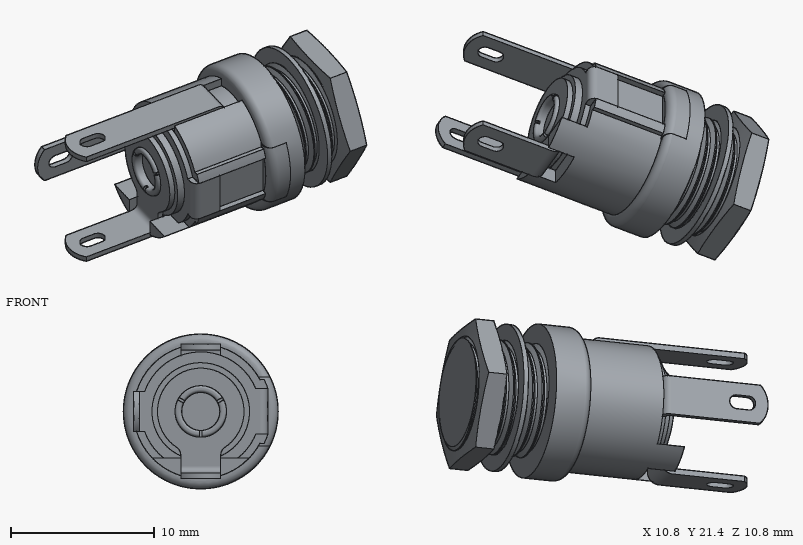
import cadquery as cq
import math


TOTAL_LENGTH = 21.4

NECK_LENGTH = 5.48
THREAD_CREST_RADIUS = 4.02
THREAD_ROOT_RADIUS = 3.65
THREAD_PITCH = 0.7
THREAD_CREST_OFFSET = 0.182
THREAD_CREST_FLAT = THREAD_PITCH / 8
THREAD_ROOT_FLAT = THREAD_PITCH / 4
CORE_SEAM_TURN = 77
THREAD_OVERLAP = 0.06

FLANGE_DIAMETER = 10.8
FLANGE_RADIUS = FLANGE_DIAMETER / 2
FLANGE_THICKNESS = 2.7
FLANGE_ROUNDING = 0.54
BODY_RADIUS = 4.69
BODY_REAR_Y = -8.2
TOP_SLOT_FLOOR_RADIUS = 4.09

RAIL_RADIUS = 4.95
RAIL_HALF_WIDTH = 2.23

KEY_HALF_WIDTH = 2.42
KEY_FRONT_Y = -1.18
KEY_REAR_Y = -2.75
KEY_ROUNDING = 0.6

LUG_TOP_Z = -3.25
LUG_REAR_Y = -10.2

NUT_CORNER_RADIUS = FLANGE_RADIUS
NUT_FRONT_Y = 5.25
NUT_REAR_Y = 3.47
NUT_CONE_DEPTH = 0.21
WASHER_RADIUS = 5.15
WASHER_FRONT_Y = 2.33
WASHER_REAR_Y = 2.0

SHEET = 0.4
TAB_WIDTH = 2.78
TAB_OUTER = BODY_RADIUS
TAB_REAR_Y = NECK_LENGTH - TOTAL_LENGTH
TAB_TIP_SAGITTA = 0.55
EYE_WIDTH = 1.0
EYE_LENGTH = 1.9
EYE_CENTRE_Y = -14.04
BEND_RADIUS = 0.54
PIN_BEND_RADIUS = 0.85

TOP_CONTACT_FRONT_Y = -4.07
TOP_CONTACT_LEG_Z = 3.2

SWITCH_DISC_RADIUS = 4.15
SWITCH_FOLD_HALF_WIDTH = 1.58
SWITCH_FOLD_LENGTH = 1.71

INSULATOR_RADIUS = 3.4
INSULATOR_THICKNESS = 0.55

PIN_DISC_RADIUS = 3.02
PIN_NECK_FILLET = 0.65

PIN_RADIUS = 1.8
PIN_BORE_RADIUS = 1.33
PIN_PROTRUSION = 0.25
PIN_BORE_DEPTH = 0.65
PIN_RIM_FILLET = 0.2
PIN_SPLIT_WIDTH = 0.2
PIN_SPLIT_ANGLES = (30, 150, 270)

SWITCH_REAR_Y = BODY_REAR_Y - SHEET
INSULATOR_REAR_Y = SWITCH_REAR_Y - INSULATOR_THICKNESS
PIN_DISC_REAR_Y = INSULATOR_REAR_Y - SHEET
PIN_REAR_Y = PIN_DISC_REAR_Y - PIN_PROTRUSION


def disc(radius, front_y, rear_y):
    """Round disc on the jack axis between two y positions."""
    return cq.Workplane("XZ", origin=(0, front_y, 0)).circle(radius).extrude(front_y - rear_y)


def block(x_range, y_range, z_range):
    """Axis-aligned box given by its limits."""
    sizes = [high - low for low, high in (x_range, y_range, z_range)]
    corner = (x_range[0], y_range[0], z_range[0])
    return cq.Workplane("XY").box(*sizes, centered=False).translate(corner)


def tab_plan():
    """Tall prism with the plan of a solder tab: straight sides, arched tip and an eye."""
    half = TAB_WIDTH / 2
    plan = (
        cq.Workplane("XY")
        .moveTo(-half, 0)
        .lineTo(-half, TAB_REAR_Y + TAB_TIP_SAGITTA)
        .threePointArc((0, TAB_REAR_Y), (half, TAB_REAR_Y + TAB_TIP_SAGITTA))
        .lineTo(half, 0)
        .close()
        .extrude(TAB_OUTER)
    )
    eye = (
        cq.Workplane("XY")
        .center(0, EYE_CENTRE_Y)
        .slot2D(EYE_LENGTH, EYE_WIDTH, 90)
        .extrude(TAB_OUTER)
    )
    return plan.cut(eye)


def bent_tab(front_y, bend_radius, leg_z):
    """Bent solder tab above the axis: a leg rising from leg_z, a bend, then a strip to the rear."""
    inner_radius = bend_radius - SHEET
    centre_y = front_y - bend_radius
    centre_z = TAB_OUTER - bend_radius
    diagonal = math.sqrt(0.5)
    side_profile = (
        cq.Workplane("YZ", origin=(-TAB_WIDTH / 2, 0, 0))
        .moveTo(front_y, leg_z)
        .lineTo(front_y, centre_z)
        .threePointArc(
            (centre_y + bend_radius * diagonal, centre_z + bend_radius * diagonal),
            (centre_y, TAB_OUTER),
        )
        .lineTo(TAB_REAR_Y, TAB_OUTER)
        .lineTo(TAB_REAR_Y, TAB_OUTER - SHEET)
        .lineTo(centre_y, TAB_OUTER - SHEET)
        .threePointArc(
            (centre_y + inner_radius * diagonal, centre_z + inner_radius * diagonal),
            (front_y - SHEET, centre_z),
        )
        .lineTo(front_y - SHEET, leg_z)
        .close()
        .extrude(TAB_WIDTH)
    )
    return side_profile.intersect(tab_plan())


def turn(part, angle):
    """Turn a part about the jack axis."""
    return part.rotate((0, 0, 0), (0, 1, 0), angle)


def make_top_contact():
    return bent_tab(TOP_CONTACT_FRONT_Y, BEND_RADIUS, TOP_CONTACT_LEG_Z)


def make_switch_contact():
    """Disc with a solder tab at -X and a tongue at +X folded forward into the body."""
    plate = disc(SWITCH_DISC_RADIUS, BODY_REAR_Y, SWITCH_REAR_Y)
    below_lugs = block(
        (-SWITCH_DISC_RADIUS, SWITCH_DISC_RADIUS),
        (SWITCH_REAR_Y, BODY_REAR_Y),
        (-SWITCH_DISC_RADIUS, LUG_TOP_Z),
    )
    tab = turn(bent_tab(BODY_REAR_Y, BEND_RADIUS, 0), -90)

    fold_z = (-SWITCH_FOLD_HALF_WIDTH, SWITCH_FOLD_HALF_WIDTH)
    fold_y = (SWITCH_REAR_Y, BODY_REAR_Y + SWITCH_FOLD_LENGTH)
    inner_x = TAB_OUTER - SHEET
    tongue = block((0, TAB_OUTER), fold_y, fold_z).edges(">X and <Y").fillet(BEND_RADIUS)
    inside_fold = block((0, inner_x), (BODY_REAR_Y, fold_y[1]), fold_z)
    inside_fold = inside_fold.edges(">X and <Y").fillet(BEND_RADIUS - SHEET)
    tongue = tongue.cut(inside_fold)

    pin_hole = disc(PIN_RADIUS, BODY_REAR_Y, SWITCH_REAR_Y)
    return plate.cut(below_lugs).union(tab).union(tongue).cut(pin_hole)


def make_pin_contact():
    """Keyhole-shaped disc whose neck bends into the solder tab at -Z."""
    tab = turn(bent_tab(INSULATOR_REAR_Y, PIN_BEND_RADIUS, 0), 180)
    contact = disc(PIN_DISC_RADIUS, INSULATOR_REAR_Y, PIN_DISC_REAR_Y).union(tab)
    half = TAB_WIDTH / 2
    corner_z = -math.sqrt(PIN_DISC_RADIUS**2 - half**2)
    reach = 0.1
    mid_y = (INSULATOR_REAR_Y + PIN_DISC_REAR_Y) / 2
    for x in (-half, half):
        corner = cq.selectors.BoxSelector(
            (x - reach, mid_y - reach, corner_z - reach),
            (x + reach, mid_y + reach, corner_z + reach),
        )
        contact = contact.edges(corner).fillet(PIN_NECK_FILLET)
    return contact.cut(disc(PIN_RADIUS, INSULATOR_REAR_Y, PIN_DISC_REAR_Y))


def make_insulator():
    washer = disc(INSULATOR_RADIUS, SWITCH_REAR_Y, INSULATOR_REAR_Y)
    return washer.cut(disc(PIN_RADIUS, SWITCH_REAR_Y, INSULATOR_REAR_Y))


def make_pin():
    """Hollow rivet end with a rounded rim split in three places."""
    pin = disc(PIN_RADIUS, BODY_REAR_Y, PIN_REAR_Y)
    pin = pin.cut(disc(PIN_BORE_RADIUS, PIN_REAR_Y + PIN_BORE_DEPTH, PIN_REAR_Y))
    pin = pin.faces("<Y").edges().fillet(PIN_RIM_FILLET)
    split = block(
        (0, PIN_RADIUS),
        (PIN_REAR_Y, PIN_DISC_REAR_Y),
        (-PIN_SPLIT_WIDTH / 2, PIN_SPLIT_WIDTH / 2),
    )
    for angle in PIN_SPLIT_ANGLES:
        pin = pin.cut(turn(split, -angle))
    return pin


def make_thread_ridge():
    """Single-start right-hand ridge around the neck, trimmed to the neck length."""
    depth = THREAD_CREST_RADIUS - THREAD_ROOT_RADIUS
    root_half = (THREAD_PITCH - THREAD_ROOT_FLAT) / 2
    crest_half = THREAD_CREST_FLAT / 2
    flank_slope = (root_half - crest_half) / depth
    sunk_half = root_half + flank_slope * THREAD_OVERLAP
    sunk_radius = THREAD_ROOT_RADIUS - THREAD_OVERLAP
    path = cq.Wire.makeHelix(THREAD_PITCH, NECK_LENGTH + 2 * THREAD_PITCH, THREAD_ROOT_RADIUS)
    ridge = (
        cq.Workplane("XZ")
        .moveTo(sunk_radius, -sunk_half)
        .lineTo(THREAD_CREST_RADIUS, -crest_half)
        .lineTo(THREAD_CREST_RADIUS, crest_half)
        .lineTo(sunk_radius, sunk_half)
        .close()
        .sweep(cq.Workplane(path), isFrenet=True)
        .rotate((0, 0, 0), (1, 0, 0), -90)
        .translate((0, THREAD_CREST_OFFSET - THREAD_PITCH, 0))
    )
    return ridge.intersect(disc(FLANGE_RADIUS, NECK_LENGTH, 0))


def make_lugs():
    """Two lugs behind the body, one on each side of the pin contact's tab."""
    segment = disc(BODY_RADIUS, BODY_REAR_Y, LUG_REAR_Y)
    above = block(
        (-BODY_RADIUS, BODY_RADIUS), (LUG_REAR_Y, BODY_REAR_Y), (LUG_TOP_Z, BODY_RADIUS)
    )
    gap = block(
        (-TAB_WIDTH / 2, TAB_WIDTH / 2), (LUG_REAR_Y, BODY_REAR_Y), (-BODY_RADIUS, LUG_TOP_Z)
    )
    return segment.cut(above).cut(gap)


def make_rails():
    """Raised strip along the +X side of the body."""
    strip = block((0, RAIL_RADIUS), (BODY_REAR_Y, KEY_REAR_Y), (-RAIL_HALF_WIDTH, RAIL_HALF_WIDTH))
    return strip.intersect(disc(RAIL_RADIUS, KEY_REAR_Y, BODY_REAR_Y))


def key_sector(rim):
    """Part of a flange-sized disc that lies outside the body and within the key's width."""
    width = block(
        (0, FLANGE_RADIUS), (KEY_REAR_Y, KEY_FRONT_Y), (-KEY_HALF_WIDTH, KEY_HALF_WIDTH)
    )
    return rim.cut(disc(BODY_RADIUS, KEY_FRONT_Y, KEY_REAR_Y)).intersect(width)


def make_key():
    """Rounded ring sector flush with the rim of the flange."""
    rim = disc(FLANGE_RADIUS, KEY_FRONT_Y, KEY_REAR_Y).faces("<Y").edges().fillet(KEY_ROUNDING)
    return key_sector(rim)


def make_housing():
    flange = disc(FLANGE_RADIUS, 0, -FLANGE_THICKNESS).faces("<Y").edges().fillet(FLANGE_ROUNDING)
    key_pocket = key_sector(disc(FLANGE_RADIUS, KEY_FRONT_Y, KEY_REAR_Y))
    housing = flange.cut(key_pocket).union(disc(BODY_RADIUS, -FLANGE_THICKNESS, BODY_REAR_Y))
    housing = housing.union(make_rails())
    rail_gap = block(
        (TAB_OUTER - SHEET, RAIL_RADIUS),
        (BODY_REAR_Y, KEY_REAR_Y),
        (-SWITCH_FOLD_HALF_WIDTH, SWITCH_FOLD_HALF_WIDTH),
    )
    top_slot = block(
        (-TAB_WIDTH / 2, TAB_WIDTH / 2), (BODY_REAR_Y, -FLANGE_THICKNESS), (0, BODY_RADIUS)
    ).cut(disc(TOP_SLOT_FLOOR_RADIUS, -FLANGE_THICKNESS, BODY_REAR_Y))
    housing = housing.cut(rail_gap).cut(top_slot).union(make_lugs())

    core = turn(disc(THREAD_ROOT_RADIUS, NECK_LENGTH, 0), CORE_SEAM_TURN)
    return housing.union(core.union(make_thread_ridge()))


def make_nut():
    """Hexagonal nut with corners at +X and -X whose faces slope from the bore to the corners."""
    blank = (
        cq.Workplane("XZ", origin=(0, NUT_FRONT_Y, 0))
        .polygon(6, 2 * NUT_CORNER_RADIUS)
        .extrude(NUT_FRONT_Y - NUT_REAR_Y)
    )
    cone_envelope = (
        cq.Workplane("XY")
        .moveTo(0, NUT_REAR_Y)
        .lineTo(THREAD_CREST_RADIUS, NUT_REAR_Y)
        .lineTo(NUT_CORNER_RADIUS, NUT_REAR_Y + NUT_CONE_DEPTH)
        .lineTo(NUT_CORNER_RADIUS, NUT_FRONT_Y - NUT_CONE_DEPTH)
        .lineTo(THREAD_CREST_RADIUS, NUT_FRONT_Y)
        .lineTo(0, NUT_FRONT_Y)
        .close()
        .revolve(360, (0, 0, 0), (0, 1, 0))
    )
    bore = disc(THREAD_CREST_RADIUS, NUT_FRONT_Y, NUT_REAR_Y)
    return blank.intersect(cone_envelope).cut(bore)


def make_washer():
    ring = disc(WASHER_RADIUS, WASHER_FRONT_Y, WASHER_REAR_Y)
    return ring.cut(disc(THREAD_CREST_RADIUS, WASHER_FRONT_Y, WASHER_REAR_Y))


top_contact = make_top_contact()
switch_contact = make_switch_contact()
insulator = make_insulator()
pin_contact = make_pin_contact()
pin = make_pin()
key = make_key()
nut = make_nut()
washer = make_washer()
housing = make_housing().cut(top_contact).cut(switch_contact)

result = cq.Compound.makeCompound(
    [
        housing.val(),
        key.val(),
        nut.val(),
        washer.val(),
        top_contact.val(),
        switch_contact.val(),
        insulator.val(),
        pin_contact.val(),
        pin.val(),
    ]
)